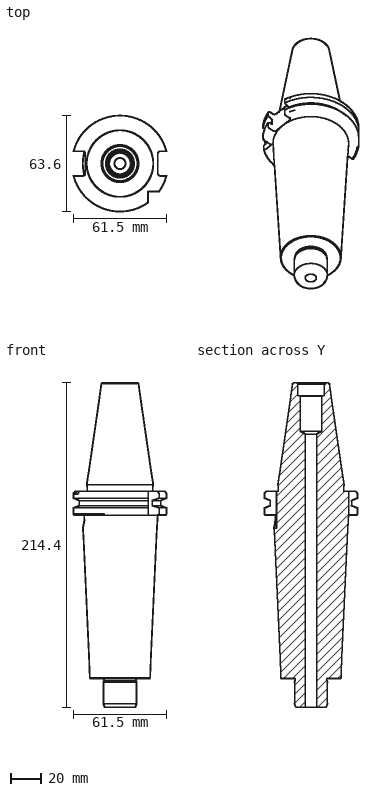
import cadquery as cq
import math

gauge_radius = 44.45 / 2
taper_length = 68.4
taper_ratio = 7 / 24
top_chamfer = 0.8
taper_end_z = 0.9
relief_radius = 21.75
relief_top_z = -0.4

flange_radius = 63.55 / 2
flange_top_z = -3.2
flange_bottom_z = -19.1
flange_top_fillet = 2.0
flange_bottom_fillet = 1.0
groove_radius = 56.25 / 2
groove_center_z = -11.1
groove_floor_width = 3.4
groove_mouth_width = 6.4

body_top_radius = 25.0
body_bottom_radius = 20.0
body_bottom_z = -127.0
body_chamfer = 0.5
spigot_radius = 11.0
spigot_length = 19.0
spigot_neck_radius = 10.6
spigot_cone_length = 1.2
spigot_neck_length = 1.2
spigot_end_fillet = 1.3

entry_radius = 8.5
entry_chamfer = 0.9
entry_depth = 8.5
thread_chamfer = 0.5
thread_radius = 7.0
thread_depth = 32.0
through_radius = 3.6
drill_half_angle = 60

slot_width = 16.1
slot_corner_radius = 1.6
deep_slot_x = 22.8
shallow_slot_x = 25.0
slot_end_z = -27.7
notch_x = 18.5
notch_y = -18.5

spigot_end_z = body_bottom_z - spigot_length
slot_reach = flange_radius + 5


def taper_radius(z):
    """Radius of the spindle taper at height z."""
    return gauge_radius - z * taper_ratio / 2


def fillet_middle(center, radius, angle):
    """Point on a fillet arc at the given angle in degrees about its center."""
    turn = math.radians(angle)
    return center[0] + radius * math.cos(turn), center[1] + radius * math.sin(turn)


def revolve_about_z(outline):
    return outline.close().revolve(360, (0, 0, 0), (0, 1, 0))


def make_body():
    """Revolve the outer profile, drawn from the top of the taper down."""
    groove_floor = groove_floor_width / 2
    groove_mouth = groove_mouth_width / 2
    top_fillet_center = (flange_radius - flange_top_fillet, flange_top_z - flange_top_fillet)
    bottom_fillet_center = (flange_radius - flange_bottom_fillet, flange_bottom_z + flange_bottom_fillet)
    upper_neck_z = body_bottom_z - spigot_neck_length
    spigot_fillet_center = (spigot_neck_radius - spigot_end_fillet, spigot_end_z + spigot_end_fillet)
    outline = (
        cq.Workplane("YZ")
        .moveTo(0, taper_length)
        .lineTo(taper_radius(taper_length) - top_chamfer, taper_length)
        .lineTo(taper_radius(taper_length - top_chamfer), taper_length - top_chamfer)
        .lineTo(taper_radius(taper_end_z), taper_end_z)
        .lineTo(relief_radius, relief_top_z)
        .lineTo(relief_radius, flange_top_z)
        .lineTo(top_fillet_center[0], flange_top_z)
        .threePointArc(
            fillet_middle(top_fillet_center, flange_top_fillet, 45),
            (flange_radius, top_fillet_center[1]),
        )
        .lineTo(flange_radius, groove_center_z + groove_mouth)
        .lineTo(groove_radius, groove_center_z + groove_floor)
        .lineTo(groove_radius, groove_center_z - groove_floor)
        .lineTo(flange_radius, groove_center_z - groove_mouth)
        .lineTo(flange_radius, bottom_fillet_center[1])
        .threePointArc(
            fillet_middle(bottom_fillet_center, flange_bottom_fillet, -45),
            (bottom_fillet_center[0], flange_bottom_z),
        )
        .lineTo(body_top_radius, flange_bottom_z)
        .lineTo(body_bottom_radius, body_bottom_z + body_chamfer)
        .lineTo(body_bottom_radius - body_chamfer, body_bottom_z)
        .lineTo(spigot_neck_radius, body_bottom_z)
        .lineTo(spigot_neck_radius, upper_neck_z)
        .lineTo(spigot_radius, upper_neck_z - spigot_cone_length)
        .lineTo(spigot_radius, spigot_fillet_center[1] + spigot_cone_length)
        .lineTo(spigot_neck_radius, spigot_fillet_center[1])
        .threePointArc(
            fillet_middle(spigot_fillet_center, spigot_end_fillet, -45),
            (spigot_fillet_center[0], spigot_end_z),
        )
        .lineTo(0, spigot_end_z)
    )
    return revolve_about_z(outline)


def make_bore():
    """Chamfered entry counterbore, thread bore with a conical end, and a through hole."""
    cone_length = (thread_radius - through_radius) / math.tan(math.radians(drill_half_angle))
    entry_z = taper_length - entry_depth
    thread_z = taper_length - thread_depth
    profile = [
        (0, taper_length),
        (entry_radius + entry_chamfer, taper_length),
        (entry_radius, taper_length - entry_chamfer),
        (entry_radius, entry_z),
        (thread_radius + thread_chamfer, entry_z),
        (thread_radius, entry_z - thread_chamfer),
        (thread_radius, thread_z),
        (through_radius, thread_z - cone_length),
        (through_radius, spigot_end_z),
        (0, spigot_end_z),
    ]
    return revolve_about_z(cq.Workplane("YZ").polyline(profile))


def make_drive_slot(floor_x):
    """Round-ended slot, open upwards, cut inwards to a floor at floor_x on the +X side.

    Only the straight sides are rounded into the floor; the round end meets it sharply.
    """
    half_width = slot_width / 2
    channel = (
        cq.Workplane("XY", origin=(floor_x, 0, slot_end_z))
        .rect(slot_reach - floor_x, slot_width, centered=(False, True))
        .extrude(-slot_end_z)
        .edges("|Z and <X")
        .fillet(slot_corner_radius)
    )
    round_end = (
        cq.Workplane("YZ", origin=(floor_x, 0, 0))
        .moveTo(-half_width, 0)
        .lineTo(-half_width, slot_end_z + half_width)
        .threePointArc((0, slot_end_z), (half_width, slot_end_z + half_width))
        .lineTo(half_width, 0)
        .close()
        .extrude(slot_reach - floor_x)
    )
    return channel.intersect(round_end)


def make_notch():
    """Square corner cut through the full height of the flange."""
    flange_height = flange_top_z - flange_bottom_z
    return (
        cq.Workplane("XY", origin=(notch_x, notch_y, flange_bottom_z))
        .rect(flange_radius, -flange_radius, centered=False)
        .extrude(flange_height)
    )


result = make_body().cut(make_bore())
result = result.cut(make_drive_slot(shallow_slot_x))
result = result.cut(make_drive_slot(deep_slot_x).rotate((0, 0, 0), (0, 0, 1), 180))
result = result.cut(make_notch())